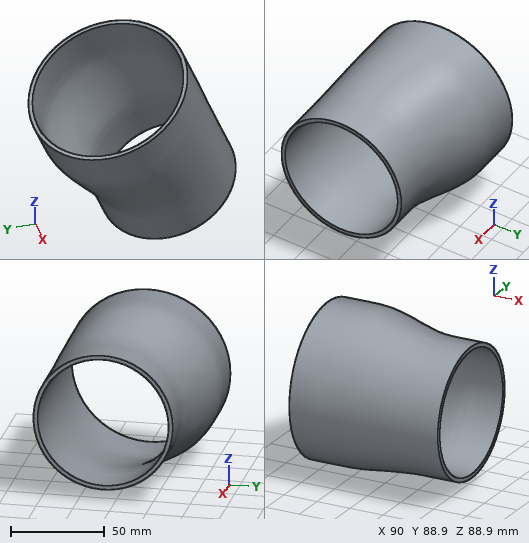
import cadquery as cq

total_length = 90.0
collar_length = 20.0
large_outer_diameter = 88.9
large_inner_diameter = 84.3
small_outer_diameter = 76.1
small_inner_diameter = 71.5
transition_steps = 10

transition_length = total_length - 2 * collar_length
transition_end = total_length - collar_length

axis_offset = (small_outer_diameter - large_outer_diameter) / 2


def circle_section(x, y, diameter):
    """Workplane across the pipe axis holding one circle centred at (x, y, 0)."""
    return cq.Workplane("YZ", origin=(x, y, 0)).circle(diameter / 2)


def transition(large_diameter, small_diameter):
    """Loft whose diameter and axis follow an S-curve, level with X at both ends."""
    sections = []
    for step in range(transition_steps + 1):
        along = step / transition_steps
        blend = along**2 * (3 - 2 * along)
        x = collar_length + along * transition_length
        diameter = large_diameter + blend * (small_diameter - large_diameter)
        section = circle_section(x, blend * axis_offset, diameter)
        sections.append(section.val())
    return cq.Workplane(cq.Solid.makeLoft(sections))


def reducer_body(large_diameter, small_diameter):
    """Solid reducer shape: large collar, transition and small collar."""
    large_collar = circle_section(0, 0, large_diameter).extrude(collar_length)
    small_collar = circle_section(transition_end, axis_offset, small_diameter).extrude(collar_length)
    return large_collar.union(transition(large_diameter, small_diameter)).union(small_collar)


outer_body = reducer_body(large_outer_diameter, small_outer_diameter)
bore = reducer_body(large_inner_diameter, small_inner_diameter)

result = outer_body.cut(bore)